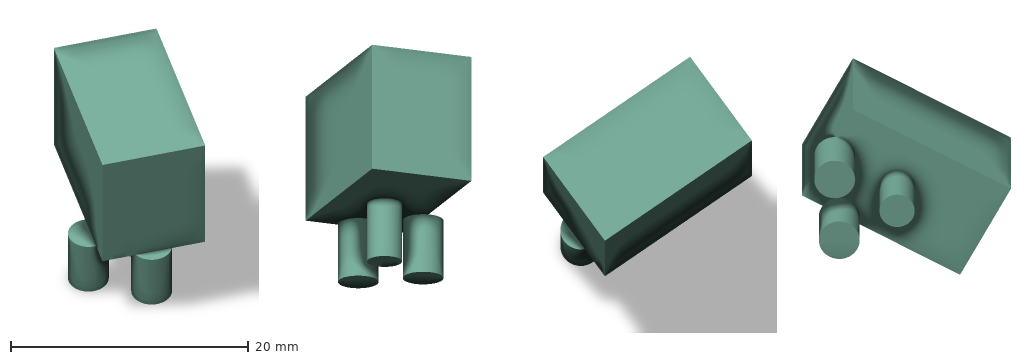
import cadquery as cq

HOUSING_LENGTH = 15.2
HOUSING_WIDTH = 9.0
HOUSING_HEIGHT = 11.0

PIN_LENGTH = 5.11
THICK_PIN_DIAMETER = 3.44
THIN_PIN_DIAMETER = 2.97

FRONT_OVERHANG = 1.91
END_OVERHANG = 1.02

MIDDLE_Y = HOUSING_WIDTH / 2
THICK_PIN_RADIUS = THICK_PIN_DIAMETER / 2
THIN_PIN_CENTER = (8.5, MIDDLE_Y)
THICK_PIN_CENTERS = [
    (11.5, THICK_PIN_RADIUS - FRONT_OVERHANG),
    (HOUSING_LENGTH + END_OVERHANG - THICK_PIN_RADIUS, MIDDLE_Y),
]


def make_housing():
    """Plain block standing on the plane Z = 0."""
    return cq.Workplane("XY").box(
        HOUSING_LENGTH, HOUSING_WIDTH, HOUSING_HEIGHT, centered=False
    )


def make_pin(center, diameter):
    """Cylinder hanging down from the plane Z = 0."""
    return cq.Workplane("XY").center(*center).circle(diameter / 2).extrude(-PIN_LENGTH)


housing = make_housing()
thin_pin = make_pin(THIN_PIN_CENTER, THIN_PIN_DIAMETER)
thick_pins = [make_pin(center, THICK_PIN_DIAMETER) for center in THICK_PIN_CENTERS]

result = cq.Compound.makeCompound(
    [housing.val(), thin_pin.val(), *[pin.val() for pin in thick_pins]]
)